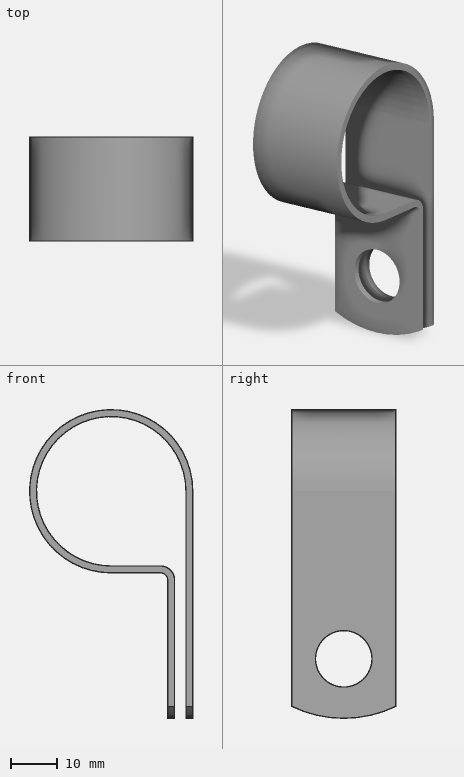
import cadquery as cq
import math

loop_diameter = 34.8
thickness = 1.5
width = 22.25
height = 65.8
leg_gap = 2.4
bend_inner_radius = 1.5
hole_diameter = 12.0
hole_height = 12.7
tip_rise = 2.55

outer_radius = loop_diameter / 2
inner_radius = outer_radius - thickness
bend_outer_radius = bend_inner_radius + thickness
tip_z = outer_radius - height
short_leg_right = inner_radius - leg_gap
short_leg_left = short_leg_right - thickness
bend_x = short_leg_right - bend_outer_radius
bend_z = -inner_radius - bend_outer_radius


def bend_point(radius):
    """Point halfway round the bend at the given radius."""
    offset = radius * math.sqrt(0.5)
    return (bend_x + offset, bend_z + offset)


def loop_point(radius):
    """Point halfway round the three-quarter loop at the given radius."""
    offset = radius * math.sqrt(0.5)
    return (-offset, offset)


def make_strip():
    """Bent strip: long leg, round loop, bend and short leg."""
    return (
        cq.Workplane("XZ")
        .moveTo(outer_radius, tip_z)
        .lineTo(outer_radius, 0)
        .threePointArc(loop_point(outer_radius), (0, -outer_radius))
        .lineTo(bend_x, -outer_radius)
        .threePointArc(bend_point(bend_inner_radius), (short_leg_left, bend_z))
        .lineTo(short_leg_left, tip_z)
        .lineTo(short_leg_right, tip_z)
        .lineTo(short_leg_right, bend_z)
        .threePointArc(bend_point(bend_outer_radius), (bend_x, -inner_radius))
        .lineTo(0, -inner_radius)
        .threePointArc(loop_point(inner_radius), (inner_radius, 0))
        .lineTo(inner_radius, tip_z)
        .close()
        .extrude(width / 2, both=True)
    )


def make_side_envelope():
    """Block with a convex lower end that rounds both leg tips."""
    half_width = width / 2
    return (
        cq.Workplane("YZ")
        .moveTo(-half_width, outer_radius)
        .lineTo(-half_width, tip_z + tip_rise)
        .threePointArc((0, tip_z), (half_width, tip_z + tip_rise))
        .lineTo(half_width, outer_radius)
        .close()
        .extrude(outer_radius, both=True)
    )


def make_bolt_hole():
    """Cylinder that passes through both legs."""
    return (
        cq.Workplane("YZ")
        .center(0, tip_z + hole_height)
        .circle(hole_diameter / 2)
        .extrude(outer_radius, both=True)
    )


result = make_strip().intersect(make_side_envelope()).cut(make_bolt_hole())